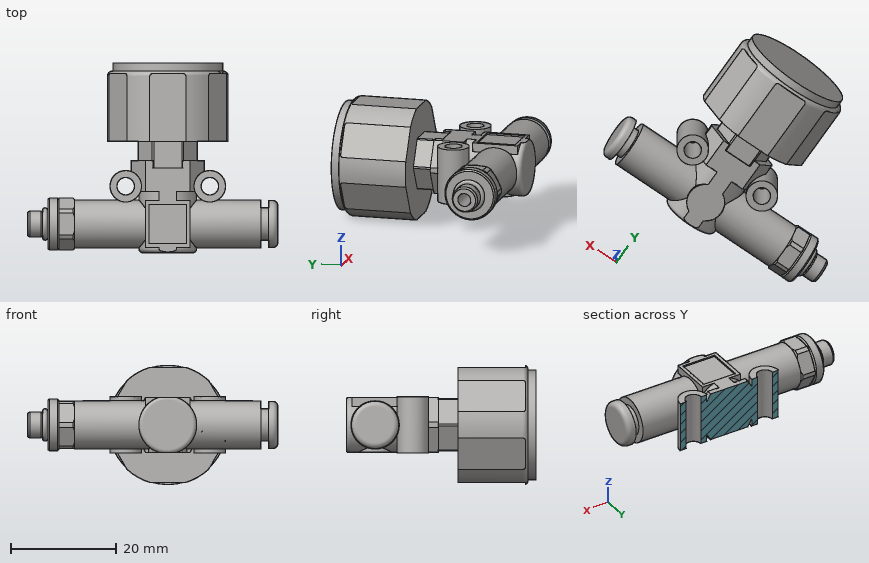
import cadquery as cq
import math


TUBE_DIAMETER = 9.2
TUBE_HALF_LENGTH = 17.7

BARREL_DIAMETER = 11.0
BARREL_FRONT_Y = -5.47
BARREL_EDGE_FILLET = 0.75
BODY_HALF_HEIGHT = 5.25

SOCKET_ACROSS_FLATS = 12.5
SOCKET_ROUND_DIAMETER = 13.9
SOCKET_START_Y = 6.2
SOCKET_END_Y = 12.05
SOCKET_DEPTH = 1.45
SLOT_WIDTH = 5.6

PAD_WIDTH = 8.5
PAD_LENGTH = 8.85
PAD_BOTTOM_Z = 3.5
LABEL_WIDTH = 7.05
LABEL_LENGTH = 7.45
LABEL_DEPTH = 0.3
BOSS_DIAMETER = 7.25

LUG_DIAMETER = 6.0
LUG_HOLE_DIAMETER = 3.3
LUG_HEIGHT = 10.7
LUG_X = 8.0
LUG_Y = 7.2

CASE_DIAMETER = 22.95
CASE_ACROSS_FLATS = 21.9
CASE_START_Y = 15.7
CASE_END_Y = 29.1
CASE_FILLET = 0.95
CASE_FLATS_END_Y = 28.6
RIM_DIAMETER = 20.95
RIM_END_Y = 30.6
NUT_ACROSS_FLATS = 9.95
NUT_ROUND_DIAMETER = 11.3

STUD_BORE_DIAMETER = 2.5
THREAD_DIAMETER = 5.0
THREAD_START_X = -26.65
THREAD_LEAD_LENGTH = 0.45
STUD_CHAMFER = 0.3
SEAL_DIAMETER = 6.2
SEAL_SECTION = 1.0
FLANGE_DIAMETER = 9.9
FLANGE_START_X = -22.8
FLANGE_END_X = -20.7
STUD_ACROSS_FLATS = 9.0

COLLAR_NECK_DIAMETER = 6.2
COLLAR_FLANGE_DIAMETER = 9.0
COLLAR_FLANGE_START_X = 19.2
COLLAR_END_X = 20.95
COLLAR_EDGE_FILLET = 1.0


def cylinder_x(diameter, start, end):
    return cq.Workplane("YZ", origin=(start, 0, 0)).circle(diameter / 2).extrude(end - start)


def cylinder_y(diameter, start, end):
    return cq.Workplane("XZ", origin=(0, start, 0)).circle(diameter / 2).extrude(start - end)


def hexagon_corners(across_flats):
    """Corner-to-corner size of a regular hexagon."""
    return across_flats / math.cos(math.pi / 6)


def hexagon_y(across_flats, start, end):
    """Hexagonal prism along Y with two flats facing +Z and -Z."""
    sketch = cq.Workplane("XZ", origin=(0, start, 0)).polygon(6, hexagon_corners(across_flats))
    return sketch.extrude(start - end)


def nut_prism(start, end):
    """Hexagon with its corners rounded off, shared by the gauge nut and its seat."""
    return hexagon_y(NUT_ACROSS_FLATS, start, end).intersect(cylinder_y(NUT_ROUND_DIAMETER, start, end))


def block(width, length, bottom, top, centre_y=0):
    return cq.Workplane("XY", origin=(0, centre_y, bottom)).rect(width, length).extrude(top - bottom)


def make_barrel_and_socket():
    barrel = cylinder_y(BARREL_DIAMETER, BARREL_FRONT_Y, SOCKET_START_Y)
    barrel = barrel.faces("<Y").edges().fillet(BARREL_EDGE_FILLET)
    head = hexagon_y(SOCKET_ACROSS_FLATS, SOCKET_START_Y, SOCKET_END_Y)
    head = head.intersect(cylinder_y(SOCKET_ROUND_DIAMETER, SOCKET_START_Y, SOCKET_END_Y))
    length = SOCKET_END_Y - BARREL_FRONT_Y
    middle = (SOCKET_END_Y + BARREL_FRONT_Y) / 2
    envelope = block(SOCKET_ROUND_DIAMETER, length, -BODY_HALF_HEIGHT, BODY_HALF_HEIGHT, middle)
    return barrel.union(head).intersect(envelope)


def lug_cylinders(diameter):
    """Pair of upright cylinders centred on the two mounting lugs."""
    return (
        cq.Workplane("XY", origin=(0, LUG_Y, -LUG_HEIGHT / 2))
        .pushPoints([(-LUG_X, 0), (LUG_X, 0)])
        .circle(diameter / 2)
        .extrude(LUG_HEIGHT)
    )


def make_body():
    seat_start = SOCKET_END_Y - SOCKET_DEPTH
    boss = cq.Workplane("XY").circle(BOSS_DIAMETER / 2).extrude(-BODY_HALF_HEIGHT)
    label = block(LABEL_WIDTH, LABEL_LENGTH, BODY_HALF_HEIGHT - LABEL_DEPTH, BODY_HALF_HEIGHT)
    slot_centre = SOCKET_END_Y - SOCKET_DEPTH / 2
    slot = block(SLOT_WIDTH, SOCKET_DEPTH, -BODY_HALF_HEIGHT, BODY_HALF_HEIGHT, slot_centre)
    return (
        cylinder_x(TUBE_DIAMETER, -TUBE_HALF_LENGTH, TUBE_HALF_LENGTH)
        .union(make_barrel_and_socket())
        .union(block(PAD_WIDTH, PAD_LENGTH, PAD_BOTTOM_Z, BODY_HALF_HEIGHT))
        .union(boss)
        .union(lug_cylinders(LUG_DIAMETER))
        .cut(lug_cylinders(LUG_HOLE_DIAMETER))
        .cut(label)
        .cut(slot)
        .cut(nut_prism(seat_start, SOCKET_END_Y))
    )


def make_gauge():
    case = cylinder_y(CASE_DIAMETER, CASE_START_Y, CASE_END_Y)
    case = case.faces(">Y").edges().fillet(CASE_FILLET)
    flats_waste = cylinder_y(hexagon_corners(CASE_ACROSS_FLATS), CASE_START_Y, CASE_FLATS_END_Y)
    flats_waste = flats_waste.cut(hexagon_y(CASE_ACROSS_FLATS, CASE_START_Y, CASE_FLATS_END_Y))
    rim = cylinder_y(RIM_DIAMETER, CASE_START_Y, RIM_END_Y)
    nut = nut_prism(SOCKET_END_Y - SOCKET_DEPTH, CASE_START_Y)
    return case.cut(flats_waste).union(rim).union(nut)


def make_stud():
    thread_radius = THREAD_DIAMETER / 2
    flange_radius = FLANGE_DIAMETER / 2
    seal_mean_radius = (SEAL_DIAMETER - SEAL_SECTION) / 2
    seal_start = FLANGE_START_X - SEAL_SECTION
    turned = (
        cq.Workplane("XY")
        .moveTo(THREAD_START_X, 0)
        .lineTo(THREAD_START_X, thread_radius - STUD_CHAMFER)
        .lineTo(THREAD_START_X + THREAD_LEAD_LENGTH, thread_radius)
        .lineTo(seal_start - STUD_CHAMFER, thread_radius)
        .lineTo(seal_start, thread_radius - STUD_CHAMFER)
        .lineTo(seal_start, seal_mean_radius)
        .threePointArc(
            (seal_start + SEAL_SECTION / 2, SEAL_DIAMETER / 2), (FLANGE_START_X, seal_mean_radius)
        )
        .lineTo(FLANGE_START_X, flange_radius - STUD_CHAMFER)
        .lineTo(FLANGE_START_X + STUD_CHAMFER, flange_radius)
        .lineTo(FLANGE_END_X - STUD_CHAMFER, flange_radius)
        .lineTo(FLANGE_END_X, flange_radius - STUD_CHAMFER)
        .lineTo(FLANGE_END_X, 0)
        .close()
        .revolve(360, (0, 0, 0), (1, 0, 0))
    )
    corners = cylinder_x(FLANGE_DIAMETER, FLANGE_END_X, -TUBE_HALF_LENGTH)
    corners = corners.faces(">X").chamfer(STUD_CHAMFER)
    hexagon = (
        cq.Workplane("YZ", origin=(FLANGE_END_X, 0, 0))
        .polygon(6, hexagon_corners(STUD_ACROSS_FLATS))
        .extrude(-TUBE_HALF_LENGTH - FLANGE_END_X)
        .intersect(corners)
    )
    bore = cylinder_x(STUD_BORE_DIAMETER, THREAD_START_X, -TUBE_HALF_LENGTH)
    return turned.union(hexagon).cut(bore)


def make_collar():
    neck = cylinder_x(COLLAR_NECK_DIAMETER, TUBE_HALF_LENGTH, COLLAR_FLANGE_START_X)
    flange = cylinder_x(COLLAR_FLANGE_DIAMETER, COLLAR_FLANGE_START_X, COLLAR_END_X)
    flange = flange.faces(">X").edges().fillet(COLLAR_EDGE_FILLET)
    return neck.union(flange)


body = make_body()
gauge = make_gauge()
stud = make_stud()
collar = make_collar()

result = cq.Compound.makeCompound([body.val(), gauge.val(), stud.val(), collar.val()])